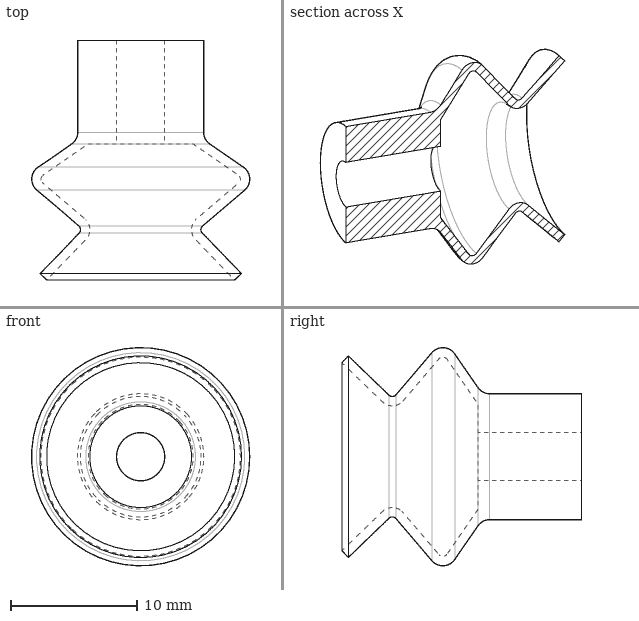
import cadquery as cq
import math


overall_length = 19.0
stem_radius = 5.0
bore_radius = 1.9
wall = 0.75
rim_inner_radius = 7.45

neck_outer_radius = 4.78
neck_y = 4.0
neck_round = 0.375

bulge_outer_radius = 8.65
bulge_y = 8.0
bulge_round = 1.15

stem_blend_y = 11.7
stem_blend_round = 1.1

neck_centre = (neck_outer_radius + neck_round, neck_y)
bulge_centre = (bulge_outer_radius - bulge_round, bulge_y)
stem_blend_centre = (stem_radius + stem_blend_round, stem_blend_y)

neck_inner_round = neck_round + wall
bulge_inner_round = bulge_round - wall


def outward_normal(start, end, offset):
    """Angle of the outward normal of the cone wall between two points.

    Measured along that normal, `end` lies `offset` farther out than `start`.
    """
    run_radius = end[0] - start[0]
    run_y = end[1] - start[1]
    distance = math.hypot(run_radius, run_y)
    return math.atan2(run_y, run_radius) - math.acos(offset / distance)


def along(centre, distance, angle):
    """Point at a signed distance from a centre in the direction of an angle."""
    return (centre[0] + distance * math.cos(angle), centre[1] + distance * math.sin(angle))


rim_point = (rim_inner_radius, 0.0)
lip_normal = outward_normal(rim_point, neck_centre, neck_inner_round)
lower_normal = outward_normal(neck_centre, bulge_centre, -(neck_round + bulge_round))
upper_normal = outward_normal(bulge_centre, stem_blend_centre, bulge_round + stem_blend_round)

floor_y = along(stem_blend_centre, -stem_blend_round, upper_normal)[1]


def cavity_floor_radius():
    """Radius at which the inner face of the upper cone reaches the cavity floor."""
    start = along(bulge_centre, bulge_inner_round, upper_normal)
    return start[0] - (floor_y - start[1]) * math.tan(upper_normal)


def make_body():
    """Revolve the wall section; each arc passes through a point on its own round."""
    profile = (
        cq.Workplane("XY")
        .moveTo(*rim_point)
        .lineTo(*along(rim_point, wall, lip_normal))
        .lineTo(*along(neck_centre, -neck_round, lip_normal))
        .threePointArc(
            (neck_outer_radius, neck_y),
            along(neck_centre, -neck_round, lower_normal),
        )
        .lineTo(*along(bulge_centre, bulge_round, lower_normal))
        .threePointArc(
            (bulge_outer_radius, bulge_y),
            along(bulge_centre, bulge_round, upper_normal),
        )
        .lineTo(*along(stem_blend_centre, -stem_blend_round, upper_normal))
        .threePointArc(
            along(stem_blend_centre, -stem_blend_round, upper_normal / 2),
            (stem_radius, stem_blend_y),
        )
        .lineTo(stem_radius, overall_length)
        .lineTo(bore_radius, overall_length)
        .lineTo(bore_radius, floor_y)
        .lineTo(cavity_floor_radius(), floor_y)
        .lineTo(*along(bulge_centre, bulge_inner_round, upper_normal))
        .threePointArc(
            (bulge_outer_radius - wall, bulge_y),
            along(bulge_centre, bulge_inner_round, lower_normal),
        )
        .lineTo(*along(neck_centre, -neck_inner_round, lower_normal))
        .threePointArc(
            (neck_outer_radius - wall, neck_y),
            along(neck_centre, -neck_inner_round, lip_normal),
        )
        .close()
    )
    return profile.revolve(360, (0, 0, 0), (0, 1, 0))


result = make_body()